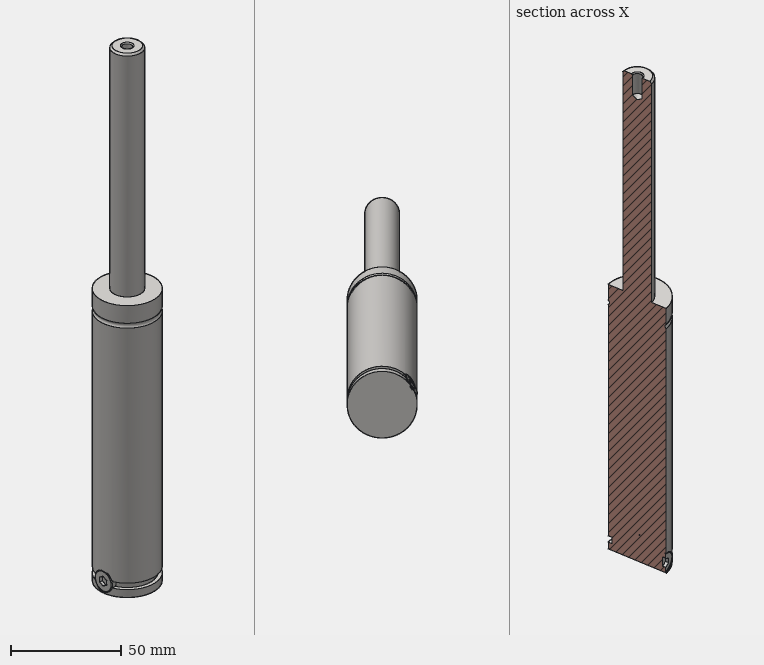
import cadquery as cq
import math

total_height = 280.0
body_diameter = 32.0
body_height = 153.0
rod_diameter = 16.0
rod_chamfer = 1.0

base_groove_bottom = 4.2
base_groove_top = 7.5
base_groove_depth = 2.0

top_groove_top = body_height - 9.2
top_groove_width = 2.5
top_groove_depth = 0.5

rod_hole_diameter = 5.0
rod_hole_mouth_diameter = 6.2
rod_hole_depth = 12.0
drill_tip_angle = 118

port_height = 6.0
plug_diameter = 11.0
plug_face_diameter = 10.0
plug_recess = 0.3
plug_length = 5.5
socket_corner_diameter = 5.0
socket_depth = 1.7

body_radius = body_diameter / 2
rod_radius = rod_diameter / 2


def make_cylinder():
    """Revolve the body, its two grooves and the chamfered rod."""
    base_groove_radius = body_radius - base_groove_depth
    top_groove_bottom = top_groove_top - top_groove_width
    top_groove_middle = top_groove_top - top_groove_width / 2
    profile = (
        cq.Workplane("XZ")
        .lineTo(body_radius, 0)
        .lineTo(body_radius, base_groove_bottom)
        .lineTo(base_groove_radius, base_groove_bottom)
        .lineTo(base_groove_radius, base_groove_top)
        .lineTo(body_radius, base_groove_top)
        .lineTo(body_radius, top_groove_bottom)
        .threePointArc(
            (body_radius - top_groove_depth, top_groove_middle),
            (body_radius, top_groove_top),
        )
        .lineTo(body_radius, body_height)
        .lineTo(rod_radius, body_height)
        .lineTo(rod_radius, total_height - rod_chamfer)
        .lineTo(rod_radius - rod_chamfer, total_height)
        .lineTo(0, total_height)
        .close()
    )
    return profile.revolve(360, (0, 0), (0, 1))


def make_rod_hole():
    """Revolve a countersunk blind hole with a conical drill tip."""
    hole_radius = rod_hole_diameter / 2
    mouth_radius = rod_hole_mouth_diameter / 2
    straight_end = total_height - rod_hole_depth
    tip_length = hole_radius / math.tan(math.radians(drill_tip_angle / 2))
    profile = [
        (0, total_height),
        (mouth_radius, total_height),
        (hole_radius, total_height - (mouth_radius - hole_radius)),
        (hole_radius, straight_end),
        (0, straight_end - tip_length),
    ]
    return cq.Workplane("XZ").polyline(profile).close().revolve(360, (0, 0), (0, 1))


def port_disc(diameter, outer_y, length):
    """Cylinder on the port axis, running inward from outer_y."""
    plane = cq.Workplane("XZ", origin=(0, outer_y, port_height))
    return plane.circle(diameter / 2).extrude(-length)


def make_socket():
    """Hexagonal key socket with one corner pointing up."""
    plane = cq.Workplane("XZ", origin=(0, plug_face_y, port_height))
    hexagon = plane.transformed(rotate=(0, 0, 90)).polygon(6, socket_corner_diameter)
    return hexagon.extrude(-socket_depth)


plug_face_y = plug_recess - body_radius
plug_chamfer = (plug_diameter - plug_face_diameter) / 2
plug_hole = port_disc(plug_diameter, -body_radius, plug_recess + plug_length)
plug = port_disc(plug_diameter, plug_face_y, plug_length).faces("<Y").chamfer(plug_chamfer)

cylinder = make_cylinder().cut(plug_hole).union(plug)
result = cylinder.cut(make_socket()).cut(make_rod_hole())